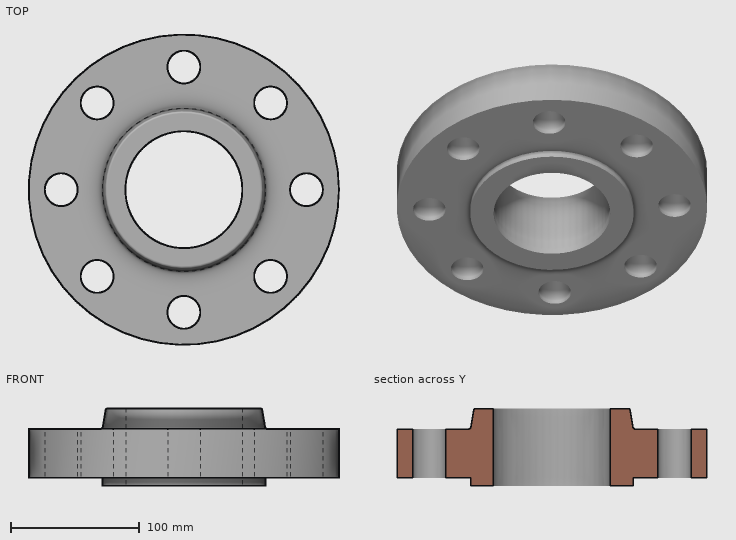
import cadquery as cq
import math

flange_diameter = 241.2
flange_thickness = 38.0

face_diameter = 127.0
face_height = 6.3

hub_base_diameter = face_diameter
hub_height = 16.0
hub_taper_angle = 9.5
hub_top_round = 1.7
hub_root_fillet = 1.7

bore_diameter = 90.7
bolt_hole_diameter = 25.3
bolt_circle_diameter = 190.5
bolt_count = 8

flange_bottom = face_height
flange_top = flange_bottom + flange_thickness
hub_top = flange_top + hub_height
hub_taper_inset = hub_height * math.tan(math.radians(hub_taper_angle))
hub_top_diameter = hub_base_diameter - 2 * hub_taper_inset


def flange_body():
    """Revolve the stepped half-section, then round the hub's root and top edge."""
    body = (
        cq.Workplane("XZ")
        .moveTo(0, 0)
        .lineTo(face_diameter / 2, 0)
        .lineTo(face_diameter / 2, flange_bottom)
        .lineTo(flange_diameter / 2, flange_bottom)
        .lineTo(flange_diameter / 2, flange_top)
        .lineTo(hub_base_diameter / 2, flange_top)
        .lineTo(hub_top_diameter / 2, hub_top)
        .lineTo(0, hub_top)
        .close()
        .revolve(360, (0, 0, 0), (0, 1, 0))
    )
    flange_top_face = body.faces("|Z").faces(">Z[-2]")
    smallest_circle = cq.selectors.RadiusNthSelector(0)
    body = flange_top_face.edges(smallest_circle).fillet(hub_root_fillet)
    return body.faces(">Z").edges().fillet(hub_top_round)


def bore():
    """Straight cylinder through the full height."""
    return cq.Workplane("XY").circle(bore_diameter / 2).extrude(hub_top)


def bolt_holes():
    """Evenly spaced cylinders through the disc, the first on the +X axis."""
    return (
        cq.Workplane("XY")
        .polarArray(bolt_circle_diameter / 2, 0, 360, bolt_count)
        .circle(bolt_hole_diameter / 2)
        .extrude(hub_top)
    )


result = flange_body().cut(bore()).cut(bolt_holes())